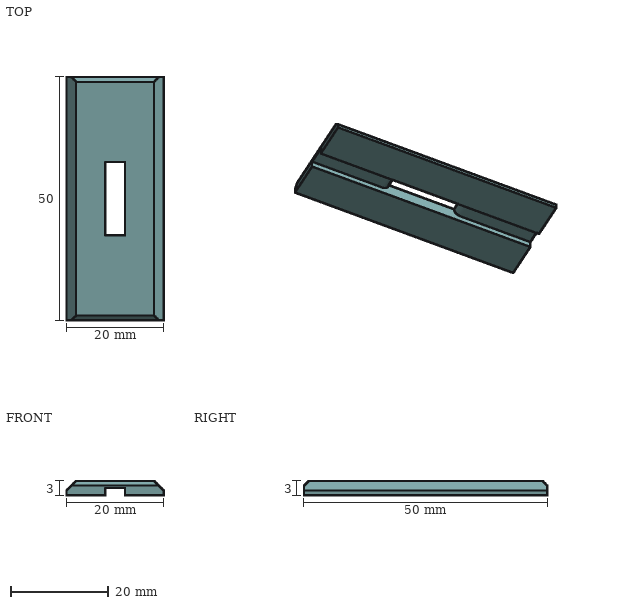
import cadquery as cq
import math

length = 50.0
width = 20.0
thickness = 3.0

side_bevel = 2.0
end_bevel = 1.0

slot_width = 4.0
slot_length = 15.0
groove_depth = 1.5


def block(size_x, size_y, size_z):
    """Box centred in X and Y with its base on Z = 0."""
    return cq.Workplane("XY").box(size_x, size_y, size_z, centered=(True, True, False))


side_bevelled = block(width, length, thickness).faces(">Z").edges("|Y").chamfer(side_bevel)
end_bevelled = block(width, length, thickness).faces(">Z").edges("|X").chamfer(end_bevel)
plate = side_bevelled.intersect(end_bevelled)

groove = block(slot_width, length, groove_depth)

round_radius = thickness - groove_depth
half_top = slot_length / 2
half_bottom = half_top + round_radius
arc_middle_y = half_bottom - round_radius * math.cos(math.pi / 4)
arc_middle_z = thickness - round_radius * math.sin(math.pi / 4)
slot = (
    cq.Workplane("YZ")
    .moveTo(-half_top, thickness)
    .lineTo(half_top, thickness)
    .threePointArc((arc_middle_y, arc_middle_z), (half_bottom, groove_depth))
    .lineTo(-half_bottom, groove_depth)
    .threePointArc((-arc_middle_y, arc_middle_z), (-half_top, thickness))
    .close()
    .extrude(slot_width / 2, both=True)
)

result = plate.cut(groove).cut(slot)